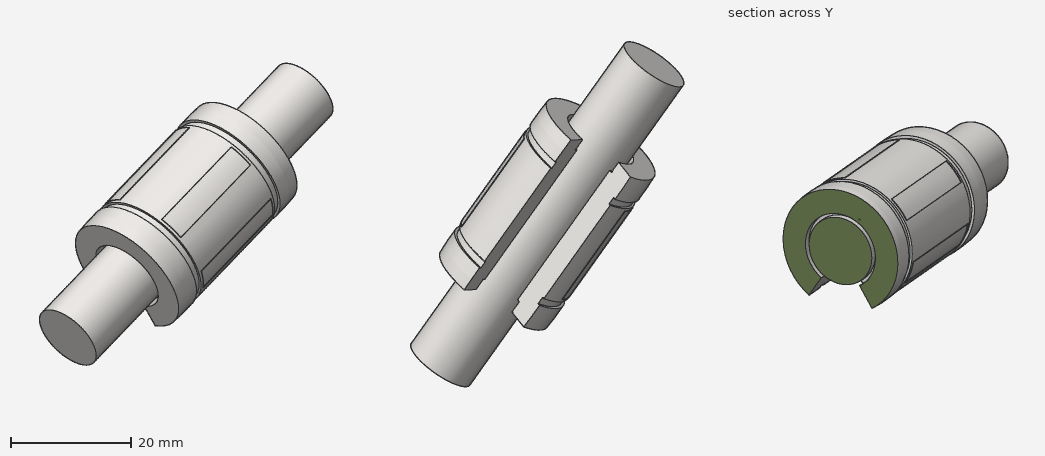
import math

import cadquery as cq

shaft_diameter = 12.0
shaft_length = 64.0

bearing_diameter = 22.0
bearing_length = 32.0
body_radius = 10.9
seal_tip_radius = 10.9
seal_width = 2.2
seal_bore_radius = 6.6

groove_radius = 10.5
groove_outer_offset = 11.3
groove_width = 1.35

plate_length = 18.8
plate_angle = 23.0
plate_centres = (-111.0, -49.0, 23.0, 85.0)

opening_angle = 66.0

bearing_radius = bearing_diameter / 2
shaft_radius = shaft_diameter / 2
bearing_half = bearing_length / 2
collar_end = bearing_half - seal_width
groove_inner_offset = groove_outer_offset - groove_width


def cylinder(radius, y_start, y_end):
    """Solid cylinder about the Y axis between two Y positions."""
    disc = cq.Workplane("XZ", origin=(0, y_end, 0)).circle(radius)
    return disc.extrude(y_end - y_start)


def rim_point(radius, angle):
    """XZ point at a radius, turned by an angle in degrees from +Z towards +X."""
    turn = math.radians(angle)
    return radius * math.sin(turn), radius * math.cos(turn)


def sector(radius, length, centre_angle, width_angle):
    """Pie-shaped wedge with its point on the Y axis, centred along Y."""
    start = rim_point(radius, centre_angle - width_angle / 2)
    middle = rim_point(radius, centre_angle)
    end = rim_point(radius, centre_angle + width_angle / 2)
    outline = cq.Workplane("XZ").lineTo(*start).threePointArc(middle, end).close()
    return outline.extrude(length / 2, both=True)


def seal_cone():
    """Solid cone for the +Y seal, narrowing slightly towards the bearing's end."""
    profile = cq.Workplane("XY").moveTo(0, collar_end).lineTo(bearing_radius, collar_end)
    profile = profile.lineTo(seal_tip_radius, bearing_half).lineTo(0, bearing_half).close()
    return profile.revolve(360, (0, 0, 0), (0, 1, 0))


def bearing_end(side):
    """Collar and bored, tapered seal at the +Y (side 1) or -Y (side -1) end."""
    collar = cylinder(bearing_radius, groove_outer_offset, collar_end)
    bore = cylinder(seal_bore_radius, collar_end, bearing_half)
    seal = seal_cone().cut(bore)
    end = collar.union(seal)
    return end if side > 0 else end.mirror("XZ")


def open_bearing():
    """Bearing sleeve with grooves, plates and end seals, opened underneath."""
    bearing = cylinder(groove_radius, -collar_end, collar_end)
    bearing = bearing.union(cylinder(body_radius, -groove_inner_offset, groove_inner_offset))
    for centre_angle in plate_centres:
        bearing = bearing.union(sector(bearing_radius, plate_length, centre_angle, plate_angle))
    for side in (-1, 1):
        bearing = bearing.union(bearing_end(side))
    opening = sector(bearing_diameter, bearing_length, 180, opening_angle)
    return bearing.cut(opening)


shaft = cylinder(shaft_radius, -shaft_length / 2, shaft_length / 2)
result = open_bearing().union(shaft)